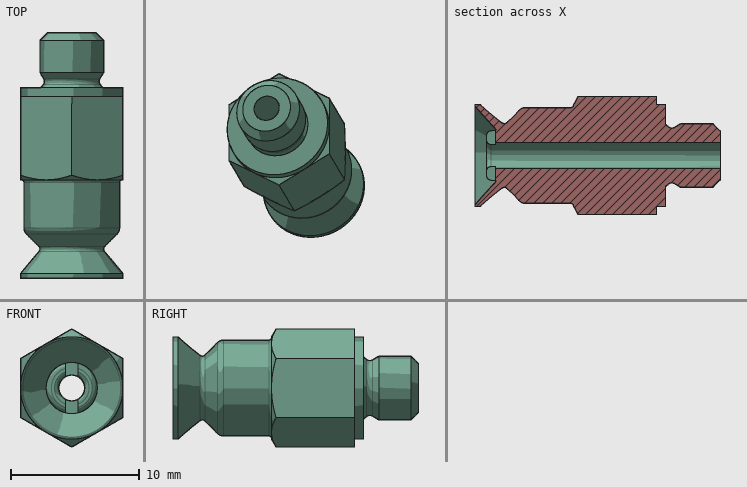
import cadquery as cq
import math


total_length = 19.2
stud_length = 4.3
flange_length = 0.7
rim_length = 0.4
collar_start = 7.7
hex_end = total_length - stud_length - flange_length
flange_end = hex_end + flange_length

hex_across_flats = 8.0
hex_chamfer_angle = 30.0
flange_radius = hex_across_flats / 2

collar_radius = 7.5 / 2
collar_root_fillet = 0.2
collar_edge_fillet = 0.65

neck_radius = 5.0 / 2
neck_fillet = 0.3
neck_cone_angle = 45.0
funnel_angle = 40.0
rim_radius = 8.0 / 2
rim_width = 0.14
rim_inner_fillet = 0.1
cavity_angle = 48.0

post_radius = 4.0 / 2
post_depth = 0.9
post_outer_fillet = 0.4
post_inner_fillet = 0.35
slot_width = 1.0
slot_depth = 0.7
bore_radius = 2.0 / 2

stud_radius = 5.0 / 2
stud_end_radius = 1.9
stud_chamfer_length = 0.6
undercut_radius = 4.3 / 2
undercut_fillet = 0.4
undercut_length = 1.2
undercut_stud_angle = 30.0
undercut_flange_angle = 40.0


def sine(angle):
    return math.sin(math.radians(angle))


def cosine(angle):
    return math.cos(math.radians(angle))


def tangent(angle):
    return math.tan(math.radians(angle))


def arc_point(center, radius, angle):
    """Point on an arc in the (radius, Y) half plane; angle 0 points away from the axis."""
    return (center[0] + radius * cosine(angle), center[1] + radius * sine(angle))


def revolve(profile):
    """Turn a closed (radius, Y) profile about the Y axis."""
    return profile.close().revolve(360, (0, 0, 0), (0, 1, 0))


def make_front_body():
    """Funnel outside, neck and collar up to the hexagon shoulder."""
    neck_rise = neck_fillet * (1 - cosine(funnel_angle))
    funnel_cone_length = (rim_radius - neck_radius - neck_rise) / tangent(funnel_angle)
    neck_y = rim_length + funnel_cone_length + neck_fillet * sine(funnel_angle)
    neck_center = (neck_radius + neck_fillet, neck_y)
    neck_cone_start = arc_point(neck_center, neck_fillet, 180 - neck_cone_angle)

    edge_center_radius = collar_radius - collar_edge_fillet
    cone_end_radius = edge_center_radius + collar_edge_fillet * cosine(neck_cone_angle)
    cone_end_y = neck_cone_start[1] + (cone_end_radius - neck_cone_start[0]) / tangent(neck_cone_angle)
    edge_center_y = cone_end_y + collar_edge_fillet * sine(neck_cone_angle)
    edge_center = (edge_center_radius, edge_center_y)

    root_center = (collar_radius + collar_root_fillet, collar_start - collar_root_fillet)
    profile = (
        cq.Workplane("XY")
        .moveTo(0, 0)
        .lineTo(rim_radius, 0)
        .lineTo(rim_radius, rim_length)
        .lineTo(*arc_point(neck_center, neck_fillet, 180 + funnel_angle))
        .threePointArc(arc_point(neck_center, neck_fillet, 180), neck_cone_start)
        .lineTo(cone_end_radius, cone_end_y)
        .threePointArc(
            arc_point(edge_center, collar_edge_fillet, -neck_cone_angle / 2),
            (collar_radius, edge_center_y),
        )
        .lineTo(collar_radius, root_center[1])
        .threePointArc(
            arc_point(root_center, collar_root_fillet, 135),
            (root_center[0], collar_start),
        )
        .lineTo(0, collar_start)
    )
    return revolve(profile)


def make_hexagon():
    """Hexagon with two flats facing X, its corners chamfered on the collar side."""
    length = hex_end - collar_start
    corner_diameter = hex_across_flats / cosine(30)
    prism = (
        cq.Workplane("XZ", origin=(0, hex_end, 0))
        .transformed(rotate=(0, 0, 30))
        .polygon(6, corner_diameter)
        .extrude(length)
    )
    corner_radius = corner_diameter / 2
    flat_radius = hex_across_flats / 2
    chamfer_length = (corner_radius - flat_radius) * tangent(hex_chamfer_angle)
    envelope = revolve(
        cq.Workplane("XY")
        .moveTo(0, collar_start)
        .lineTo(flat_radius, collar_start)
        .lineTo(corner_radius, collar_start + chamfer_length)
        .lineTo(corner_radius, hex_end)
        .lineTo(0, hex_end)
    )
    return prism.intersect(envelope)


def make_flange_and_stud():
    """Sealing flange and stud, joined by a rounded undercut."""
    cone_start = total_length - stud_chamfer_length
    undercut_end = flange_end + undercut_length
    stud_cone_rise = stud_radius - undercut_radius - undercut_fillet * (1 - cosine(undercut_stud_angle))
    stud_cone_length = stud_cone_rise / tangent(undercut_stud_angle)
    center_y = undercut_end - stud_cone_length - undercut_fillet * sine(undercut_stud_angle)
    center = (undercut_radius + undercut_fillet, center_y)
    flange_cone_start = arc_point(center, undercut_fillet, 180 + undercut_flange_angle)
    flange_cone_length = flange_cone_start[1] - flange_end
    root_radius = flange_cone_start[0] + flange_cone_length * tangent(undercut_flange_angle)
    profile = (
        cq.Workplane("XY")
        .moveTo(0, hex_end)
        .lineTo(flange_radius, hex_end)
        .lineTo(flange_radius, flange_end)
        .lineTo(root_radius, flange_end)
        .lineTo(*flange_cone_start)
        .threePointArc(
            arc_point(center, undercut_fillet, 180),
            arc_point(center, undercut_fillet, 180 - undercut_stud_angle),
        )
        .lineTo(stud_radius, undercut_end)
        .lineTo(stud_radius, cone_start)
        .lineTo(stud_end_radius, total_length)
        .lineTo(0, total_length)
    )
    return revolve(profile)


def make_funnel_cavity():
    """Conical hollow of the funnel, leaving the round-edged post in its middle."""
    mouth_radius = rim_radius - rim_width
    cavity_depth = (mouth_radius - post_radius) / tangent(cavity_angle)
    rim_angle = 90 - cavity_angle
    rim_center = (mouth_radius + rim_inner_fillet * tangent(rim_angle / 2), rim_inner_fillet)
    outer_center = (post_radius - post_outer_fillet, post_depth + post_outer_fillet)
    inner_center = (bore_radius + post_inner_fillet, post_depth + post_inner_fillet)
    profile = (
        cq.Workplane("XY")
        .moveTo(0, 0)
        .lineTo(rim_center[0], 0)
        .threePointArc(
            arc_point(rim_center, rim_inner_fillet, -90 - rim_angle / 2),
            arc_point(rim_center, rim_inner_fillet, -90 - rim_angle),
        )
        .lineTo(post_radius, cavity_depth)
        .lineTo(post_radius, outer_center[1])
        .threePointArc(
            arc_point(outer_center, post_outer_fillet, -45),
            (outer_center[0], post_depth),
        )
        .lineTo(inner_center[0], post_depth)
        .threePointArc(
            arc_point(inner_center, post_inner_fillet, -135),
            (bore_radius, inner_center[1]),
        )
        .lineTo(0, inner_center[1])
    )
    return revolve(profile)


def make_slot():
    """Slot across the end of the post, running along Z."""
    return cq.Workplane("XY").box(
        slot_width,
        post_depth + slot_depth,
        2 * post_radius,
        centered=(True, False, True),
    )


def make_bore():
    """Bore through the whole length."""
    return cq.Workplane("XZ").circle(bore_radius).extrude(-total_length)


body = make_front_body().union(make_hexagon()).union(make_flange_and_stud())
result = body.cut(make_funnel_cavity()).cut(make_slot()).cut(make_bore())